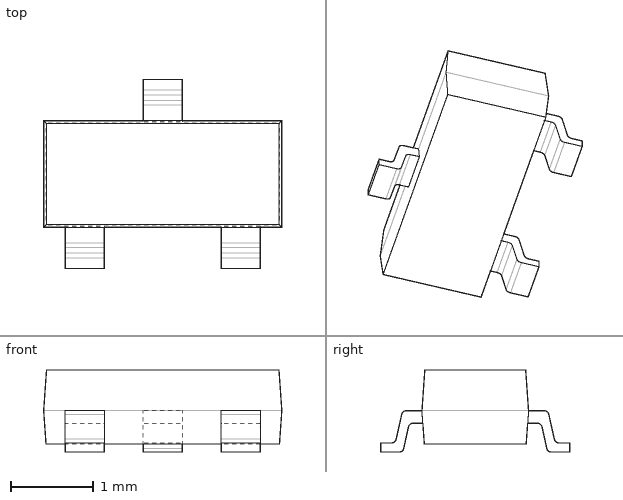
import cadquery as cq
import math

body_length = 2.9
body_depth = 1.3
body_bottom = 0.1
parting_height = 0.505
body_top = 1.0
draft_angle = 4.0

tip_span = 2.3
lead_width = 0.478
lead_pitch = 1.9
foot_thickness = 0.113
arm_thickness = 0.155
shank_thickness = 0.115
shank_lean = 12.5
bend_radius = 0.058
heel_length = 0.177
lead_embed = 0.087


def make_body():
    """Two tapered blocks meeting at the parting plane."""
    parting_outline = cq.Sketch().rect(body_length, body_depth)
    parting_plane = cq.Workplane("XY").workplane(offset=parting_height).placeSketch(parting_outline)
    upper = parting_plane.extrude(body_top - parting_height, taper=draft_angle)
    lower = parting_plane.extrude(body_bottom - parting_height, taper=draft_angle)
    return upper.union(lower)


def make_lead():
    """Front lead centred on X = 0: flat foot, leaning shank, arm running into the body."""
    lean_slope = math.tan(math.radians(shank_lean))
    tip = -tip_span / 2
    embedded_end = -body_depth / 2 + lead_embed
    shank_width = shank_thickness / math.cos(math.radians(shank_lean))

    def outer_face(height):
        return tip + heel_length + (height - foot_thickness) * lean_slope

    def inner_face(height):
        return outer_face(height) + shank_width

    arm_bottom = parting_height - arm_thickness
    bends = [
        (inner_face(0), 0),
        (inner_face(arm_bottom), arm_bottom),
        (outer_face(parting_height), parting_height),
        (outer_face(foot_thickness), foot_thickness),
    ]
    profile = [
        (tip, 0),
        bends[0],
        bends[1],
        (embedded_end, arm_bottom),
        (embedded_end, parting_height),
        bends[2],
        bends[3],
        (tip, foot_thickness),
    ]
    lead = cq.Workplane("YZ").polyline(profile).close().extrude(lead_width / 2, both=True)

    for y, z in bends:
        lead = lead.edges(cq.selectors.NearestToPointSelector((0, y, z))).fillet(bend_radius)
    return lead


lead = make_lead()
result = make_body()

for side in (-1, 1):
    result = result.union(lead.translate((side * lead_pitch / 2, 0, 0)))
result = result.union(lead.mirror("XZ"))